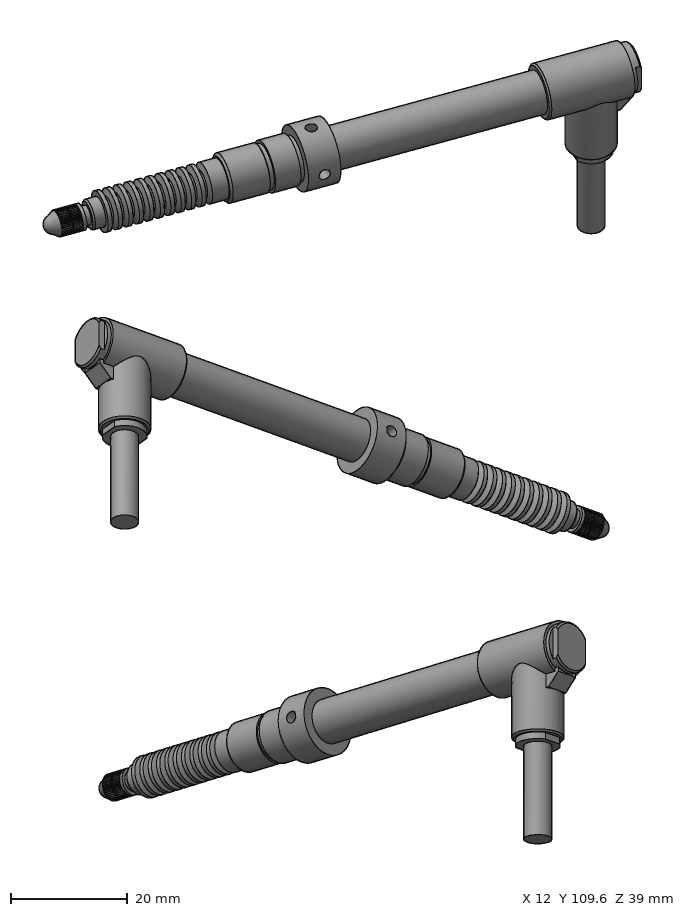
import cadquery as cq
import math

length = 109.6
overall_height = 39.0

collar_diameter = 12.0
collar_radius = collar_diameter / 2
collar_front = 46.7
collar_back = 52.7
screw_hole_radius = 1.04

tube_radius = 4.0
housing_radius = 5.0
housing_front = 92.0
housing_back = 107.7
cap_radius = 4.5
cap_flat_start = 108.5
cap_flat_distance = 3.5
small_chamfer = 0.3

front_neck_radius = 4.2
sleeve_radius = 4.7
sleeve_front = 41.1
sleeve_back = 45.8
body_radius = 4.5
body_front = 32.9
body_back = 40.2
body_chamfer = 0.4

fin_count = 10
bellows_length = 19.4
fin_pitch = bellows_length / fin_count
fin_radius = 3.7
fin_crest_width = 0.8
valley_radius = 2.5
valley_floor_width = 0.3
bellows_front = 10.4
cuff_front = bellows_front + bellows_length

ring_radius = 2.7
ring_front = 8.1
ring_chamfer = 0.3
tip_neck_radius = 1.8
tip_back = 7.0
tip_radius = 2.4
tip_cone_back = 2.4
tip_dome_back = 1.2
tip_dome_radius = 1.6

tooth_count = 40
tooth_depth = 0.16
front_band = (tip_cone_back, 4.4)
back_band = (4.6, 6.4)

branch_y = 101.7
branch_radius = 4.5
branch_bottom = -14.9
ferrule_radius = 3.8
ferrule_bottom = -16.1
ferrule_flat_distance = 3.4
cable_radius = 2.4
cable_bottom = collar_radius - overall_height

gusset_width = 4.4
gusset_back = 108.5
gusset_top = -4.7
gusset_bottom = -7.0


def turned(profile):
    """Revolve a closed half profile of (radius, y) around the probe axis."""
    return profile.close().revolve(360, (0, 0, 0), (0, 1, 0))


def disc_along_y(radius, front, back):
    return cq.Workplane("XZ", origin=(0, front, 0)).circle(radius).extrude(front - back)


def make_tip():
    dome_angle = math.atan2(tip_dome_back, tip_dome_radius)
    sphere_radius = tip_dome_radius / math.sin(2 * dome_angle)
    dome_middle = (
        sphere_radius * math.sin(dome_angle),
        sphere_radius * (1 - math.cos(dome_angle)),
    )
    return turned(
        cq.Workplane("XY")
        .threePointArc(dome_middle, (tip_dome_radius, tip_dome_back))
        .lineTo(tip_radius, tip_cone_back)
        .lineTo(tip_radius, tip_back)
        .lineTo(tip_neck_radius, tip_back)
        .lineTo(tip_neck_radius, ring_front)
        .lineTo(ring_radius - ring_chamfer, ring_front)
        .lineTo(ring_radius, ring_front + ring_chamfer)
        .lineTo(ring_radius, bellows_front)
        .lineTo(0, bellows_front)
    )


def make_serration_cutter(front, back):
    """Ring whose star-shaped bore leaves pointed axial teeth on the tip."""
    points = []
    for i in range(2 * tooth_count):
        radius = tip_radius - tooth_depth * (i % 2)
        angle = math.pi * i / tooth_count
        points.append((radius * math.cos(angle), radius * math.sin(angle)))
    teeth = cq.Workplane("XZ", origin=(0, front, 0)).polyline(points).close().extrude(front - back)
    return disc_along_y(ring_radius, front, back).cut(teeth)


def make_bellows():
    flank = (fin_pitch - fin_crest_width - valley_floor_width) / 2
    profile = cq.Workplane("XY").moveTo(0, bellows_front)
    for i in range(fin_count):
        fin_start = bellows_front + i * fin_pitch
        crest_end = fin_start + fin_crest_width
        profile = (
            profile.lineTo(fin_radius, fin_start)
            .lineTo(fin_radius, crest_end)
            .lineTo(valley_radius, crest_end + flank)
            .lineTo(valley_radius, crest_end + flank + valley_floor_width)
        )
    return turned(
        profile.lineTo(fin_radius, cuff_front)
        .lineTo(fin_radius, body_front)
        .lineTo(0, body_front)
    )


def make_body():
    return turned(
        cq.Workplane("XY")
        .moveTo(0, body_front)
        .lineTo(body_radius - body_chamfer, body_front)
        .lineTo(body_radius, body_front + body_chamfer)
        .lineTo(body_radius, body_back)
        .lineTo(front_neck_radius, body_back)
        .lineTo(front_neck_radius, sleeve_front)
        .lineTo(sleeve_radius, sleeve_front)
        .lineTo(sleeve_radius, sleeve_back)
        .lineTo(front_neck_radius, sleeve_back)
        .lineTo(front_neck_radius, collar_front)
        .lineTo(tube_radius, collar_front)
        .lineTo(tube_radius, housing_front)
        .lineTo(housing_radius - small_chamfer, housing_front)
        .lineTo(housing_radius, housing_front + small_chamfer)
        .lineTo(housing_radius, housing_back)
        .lineTo(cap_radius, housing_back)
        .lineTo(cap_radius, length - small_chamfer)
        .lineTo(cap_radius - small_chamfer, length)
        .lineTo(0, length)
    )


def cut_cap_flats(body):
    flat_length = length - cap_flat_start
    for side in (-1, 1):
        outside = cq.Workplane("XY").box(cap_radius, flat_length, 2 * cap_radius)
        centre_x = side * (cap_flat_distance + cap_radius / 2)
        body = body.cut(outside.translate((centre_x, cap_flat_start + flat_length / 2, 0)))
    return body


def make_collar():
    """Collar with screw holes at both sides and on top, reaching the tube."""
    collar = disc_along_y(collar_radius, collar_front, collar_back)
    hole_y = (collar_front + collar_back) / 2
    hole_centre = (0, hole_y, 0)
    side_outline = cq.Workplane("YZ", origin=hole_centre).circle(screw_hole_radius)
    side_holes = side_outline.extrude(collar_radius, both=True)
    top_hole = cq.Workplane("XY", origin=hole_centre).circle(screw_hole_radius).extrude(collar_radius)
    core = disc_along_y(tube_radius, collar_front, collar_back)
    return collar.cut(side_holes).cut(top_hole).union(core)


def disc_down(radius, bottom):
    """Cylinder on the branch axis from the probe axis down to the given height."""
    return cq.Workplane("XY", origin=(0, branch_y, 0)).circle(radius).extrude(bottom)


def make_branch():
    sleeve = disc_down(branch_radius, branch_bottom).faces("<Z").chamfer(small_chamfer)
    centre = cq.Workplane("XY", origin=(0, branch_y, 0))
    flats_outline = centre.rect(2 * ferrule_radius, 2 * ferrule_flat_distance)
    between_flats = flats_outline.extrude(ferrule_bottom)
    ferrule = disc_down(ferrule_radius, ferrule_bottom).intersect(between_flats)
    return sleeve.union(ferrule).union(disc_down(cable_radius, cable_bottom))


def make_gusset():
    return (
        cq.Workplane("YZ")
        .moveTo(branch_y, 0)
        .lineTo(gusset_back, 0)
        .lineTo(gusset_back, gusset_top)
        .lineTo(branch_y + branch_radius, gusset_bottom)
        .lineTo(branch_y, gusset_bottom)
        .close()
        .extrude(gusset_width / 2, both=True)
    )


tip = make_tip()
for band in (front_band, back_band):
    tip = tip.cut(make_serration_cutter(*band))
result = tip.union(make_bellows()).union(cut_cap_flats(make_body()))
result = result.union(make_collar()).union(make_branch()).union(make_gusset())